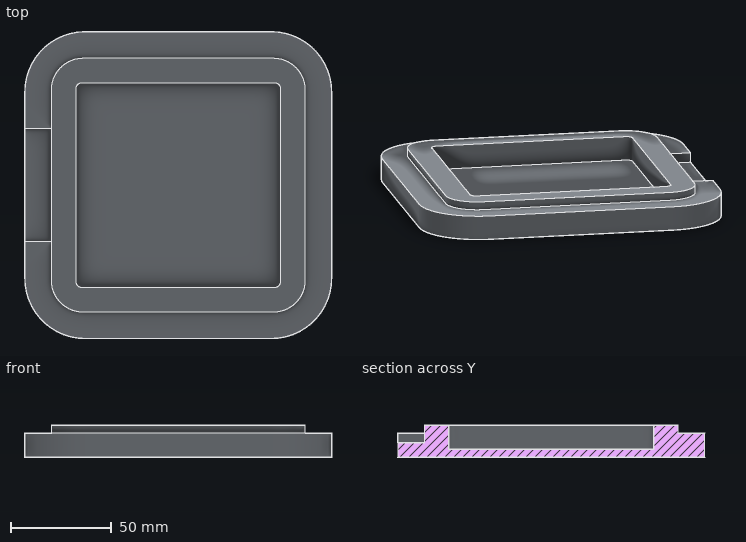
import cadquery as cq

base_size = 152.4
base_height = 12.0
base_corner_radius = 30.0

total_height = 16.0
rim_size = 126.0
rim_corner_radius = 15.8

pocket_size = 101.6
pocket_corner_radius = 3.0
pocket_floor_height = 4.0

notch_width = 56.0
notch_depth = 4.8
notch_length = (base_size - rim_size) / 2


def rounded_square(size, corner_radius, bottom, top):
    """Square block centred on Z with rounded vertical edges."""
    block = cq.Workplane("XY").workplane(offset=bottom).rect(size, size).extrude(top - bottom)
    return block.edges("|Z").fillet(corner_radius)


def edge_notch():
    """Block that is cut from the top of the base at the -X edge."""
    block = cq.Workplane("XY").box(notch_length, notch_width, notch_depth, centered=(False, True, False))
    return block.translate((-base_size / 2, 0, base_height - notch_depth))


base = rounded_square(base_size, base_corner_radius, 0, base_height)
rim = rounded_square(rim_size, rim_corner_radius, base_height, total_height)
pocket = rounded_square(pocket_size, pocket_corner_radius, pocket_floor_height, total_height)

result = base.union(rim).cut(pocket).cut(edge_notch())